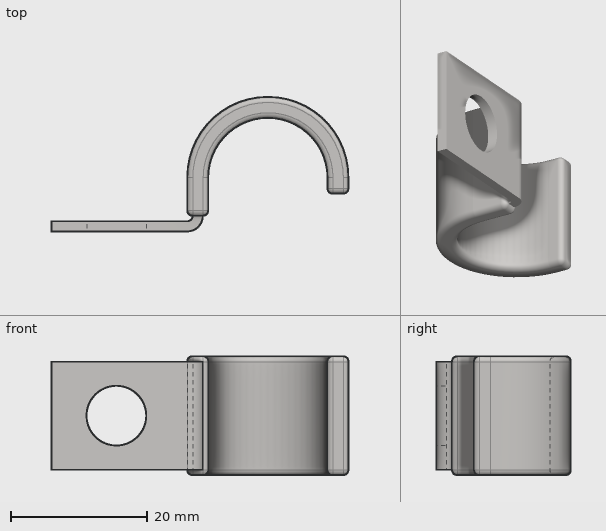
import cadquery as cq


overall_length = 43.59
strap_thickness = 1.524
strap_width = 15.875
cushion_cover = 0.79375
clamp_diameter = 17.4625
foot_drop = 7.9375
free_leg_length = 2.38125
bend_inner_radius = 0.79375
hole_diameter = 8.73
hole_edge_distance = 9.525

cushion_thickness = strap_thickness + 2 * cushion_cover
cushion_width = strap_width + 2 * cushion_cover
inner_radius = clamp_diameter / 2
outer_radius = inner_radius + cushion_thickness
strap_inner_x = -(inner_radius + cushion_cover)
strap_outer_x = strap_inner_x - strap_thickness
bend_outer_radius = bend_inner_radius + strap_thickness
bend_center_x = strap_inner_x - bend_outer_radius
bend_center_y = -foot_drop + bend_outer_radius
foot_end_x = outer_radius - overall_length
foot_back_y = -foot_drop + strap_thickness


def make_cushion():
    """Half-ring hook with two straight legs, rounded on every outer edge."""
    long_leg_y = bend_center_y
    free_leg_y = -free_leg_length
    body = (
        cq.Workplane("XY")
        .moveTo(-outer_radius, long_leg_y)
        .lineTo(-outer_radius, 0)
        .threePointArc((0, outer_radius), (outer_radius, 0))
        .lineTo(outer_radius, free_leg_y)
        .lineTo(inner_radius, free_leg_y)
        .lineTo(inner_radius, 0)
        .threePointArc((0, inner_radius), (-inner_radius, 0))
        .lineTo(-inner_radius, long_leg_y)
        .close()
        .extrude(cushion_width / 2, both=True)
    )
    rims = body.faces("|Z").edges()
    leg_end_corners = body.edges("|Z").filter(lambda edge: edge.Center().y < -free_leg_length / 2)
    return rims.add(leg_end_corners).fillet(cushion_cover)


def make_strap():
    """Flat foot with its bend, running up into the long leg of the cushion."""
    return (
        cq.Workplane("XY")
        .moveTo(foot_end_x, -foot_drop)
        .lineTo(bend_center_x, -foot_drop)
        .radiusArc((strap_inner_x, bend_center_y), -bend_outer_radius)
        .lineTo(strap_inner_x, 0)
        .lineTo(strap_outer_x, 0)
        .lineTo(strap_outer_x, bend_center_y)
        .radiusArc((bend_center_x, foot_back_y), bend_inner_radius)
        .lineTo(foot_end_x, foot_back_y)
        .close()
        .extrude(strap_width / 2, both=True)
    )


def make_mounting_hole():
    """Cylinder that cuts the screw hole through the foot."""
    return (
        cq.Workplane("XZ", origin=(foot_end_x + hole_edge_distance, -foot_drop, 0))
        .circle(hole_diameter / 2)
        .extrude(-strap_thickness)
    )


strap = make_strap().cut(make_mounting_hole())
result = make_cushion().union(strap)